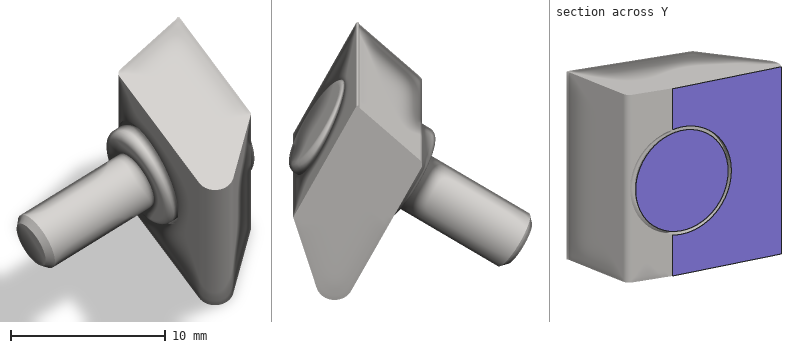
import cadquery as cq
import math

overall_length = 15.8

block_height = 13.0
face_tilt = math.radians(5.5)
nose_radius = 1.22
nose_center = (6.4, 1.63)
back_right = (3.92, 6.43)
tip_back = (-5.01, 7.3)
tip_left = (-5.09, 7.2)
tip_front = (-5.0, 7.08)
flank_lean = math.radians(10.7)
front_left_radius = 0.47

stud_diameter = 4.0
stud_chamfer = 0.43
stud_length = overall_length - tip_back[1]
front_collar_diameter = 7.0
back_collar_diameter = 6.9
collar_round = 0.5
recess_diameter = 7.4
recess_floor = 1.5
back_collar_height = 2.37


def nose_point(angle):
    """Point on the nose arc, with the angle measured from +X."""
    return (
        nose_center[0] + nose_radius * math.cos(angle),
        nose_center[1] + nose_radius * math.sin(angle),
    )


def cylinder_along_y(diameter, start, end):
    return (
        cq.Workplane("XZ", origin=(0, end, 0))
        .circle(diameter / 2)
        .extrude(end - start)
    )


def make_block():
    dx = back_right[0] - nose_center[0]
    dy = back_right[1] - nose_center[1]
    slope_tangent = math.atan2(dy, dx) - math.acos(nose_radius / math.hypot(dx, dy))
    front_tangent = -math.pi / 2 - face_tilt
    nose_start = nose_point(slope_tangent)
    nose_middle = nose_point((slope_tangent + front_tangent) / 2)
    nose_end = nose_point(front_tangent)

    face_slope = math.tan(face_tilt)
    lean = math.tan(flank_lean)
    front_at_tip = nose_end[1] + (nose_end[0] - tip_front[0]) * face_slope
    drop = (tip_front[1] - front_at_tip) / (1 - lean * face_slope)
    front_left = (tip_front[0] + drop * lean, tip_front[1] - drop)

    block = (
        cq.Workplane("XY", origin=(0, 0, -block_height / 2))
        .moveTo(*tip_back)
        .lineTo(*back_right)
        .lineTo(*nose_start)
        .threePointArc(nose_middle, nose_end)
        .lineTo(*front_left)
        .lineTo(*tip_front)
        .lineTo(*tip_left)
        .close()
        .extrude(block_height)
    )
    corner_edge = cq.selectors.NearestToPointSelector((*front_left, 0))
    return block.edges(corner_edge).fillet(front_left_radius)


def make_stud():
    stud = cylinder_along_y(stud_diameter, -stud_length, recess_floor)
    return stud.faces("<Y").chamfer(stud_chamfer)


def make_front_collar():
    collar = cylinder_along_y(front_collar_diameter, 0, recess_floor)
    return collar.edges().fillet(collar_round)


def make_back_collar():
    top = tip_back[1]
    collar = cylinder_along_y(back_collar_diameter, top - back_collar_height, top)
    return collar.faces(">Y").edges().fillet(collar_round)


recess = cylinder_along_y(recess_diameter, 0, recess_floor)
result = (
    make_block()
    .cut(recess)
    .union(make_front_collar())
    .union(make_back_collar())
    .union(make_stud())
)